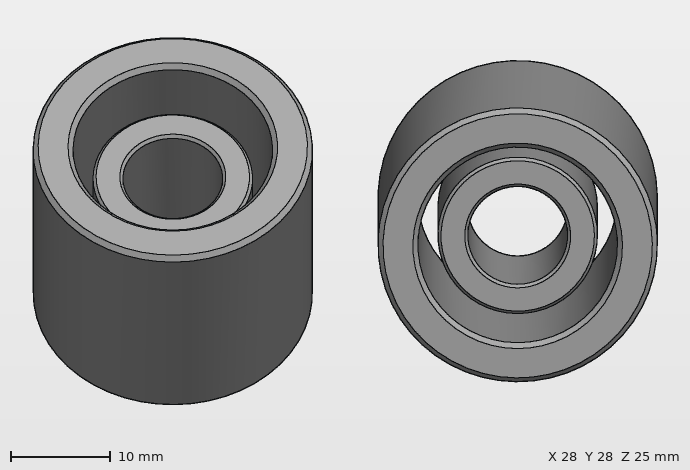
import cadquery as cq

sleeve_diameter = 28.0
sleeve_bore = 20.0
sleeve_length = 25.0
sleeve_chamfer = 0.5

ring_diameter = 16.0
ring_bore = 10.0
ring_recess = 5.0
ring_length = sleeve_length - 2 * ring_recess
ring_chamfer = 0.3


def chamfered_tube(outer_diameter, bore_diameter, length, chamfer):
    """Tube along Z, centred on the origin, with all four end edges chamfered."""
    tube = (
        cq.Workplane("XY", origin=(0, 0, -length / 2))
        .circle(outer_diameter / 2)
        .circle(bore_diameter / 2)
        .extrude(length)
    )
    return tube.faces("<Z or >Z").edges().chamfer(chamfer)


sleeve = chamfered_tube(sleeve_diameter, sleeve_bore, sleeve_length, sleeve_chamfer)
ring = chamfered_tube(ring_diameter, ring_bore, ring_length, ring_chamfer)

result = cq.Compound.makeCompound([sleeve.val(), ring.val()])